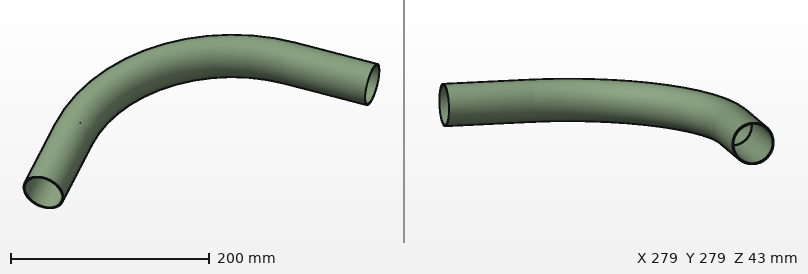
import cadquery as cq

overall_size = 279.0
outer_diameter = 43.0
leg_wall = 1.5
bend_wall = 2.0
leg_length = 87.5

outer_radius = outer_diameter / 2
bend_radius = overall_size - leg_length - outer_radius


def tube_section(plane, origin, wall):
    """Ring-shaped tube section, centred on origin."""
    return (
        cq.Workplane(plane, origin=origin)
        .circle(outer_radius)
        .circle(outer_radius - wall)
    )


bend_start = (-bend_radius, 0, 0)
bend_end = (0, bend_radius, 0)
centreline = (
    cq.Workplane("XY")
    .moveTo(-bend_radius, 0)
    .radiusArc((0, bend_radius), bend_radius)
)
bend = tube_section("XZ", bend_start, bend_wall).sweep(centreline)

lower_leg = tube_section("XZ", bend_start, leg_wall).extrude(leg_length)
upper_leg = tube_section("YZ", bend_end, leg_wall).extrude(leg_length)

result = bend.union(lower_leg).union(upper_leg)